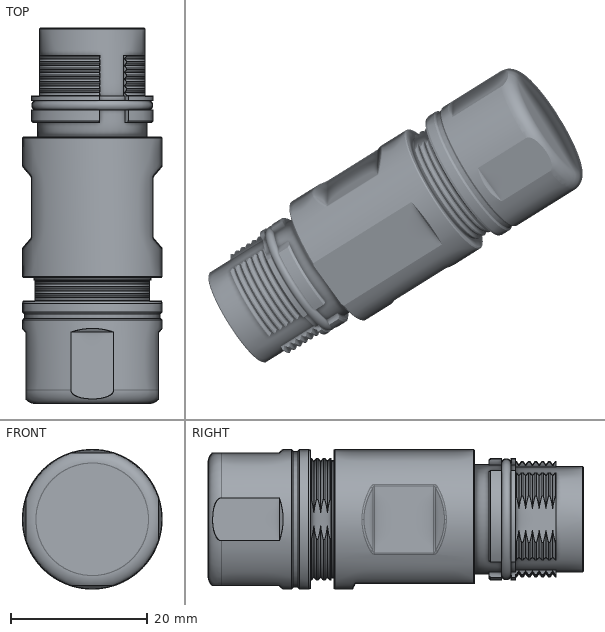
import cadquery as cq
import math

total_length = 55.05
outer_radius = 10.25

nut_groove_front = 12.2
nut_groove_rear = 13.45
nut_end = 15.05
front_thread_end = 18.0
collar_front = 18.1
body_start = 18.45
body_end = 39.1
lug_start = 41.2
lug_end = 43.05
rim_start = 44.4
rim_end = 45.1
rear_thread_end = 51.05

nut_groove_radius = 9.95
collar_radius = 8.6
front_root_radius = 8.5
front_crest_radius = 8.9
neck_radius = 8.05
lug_radius = 8.9
plug_radius = 7.75
rear_root_radius = 7.9
rear_crest_radius = 8.5

nut_front_fillet = 2.0
nut_rim_taper_length = 0.35
nut_rim_taper_depth = 0.1
nut_groove_slope = 0.3
edge_chamfer = 0.15
lug_chamfer = 0.3

thread_pitch = 1.0
crest_land = 0.2
front_thread_flat = 8.4
core_overlap = 0.55

ring_section_radius = (rim_start - lug_end) / 2
ring_outer_radius = 8.85

nut_flat_distance = 9.75
nut_flat_start = 10.45
nut_flat_runout = 0.55

recess_floor = 8.9
recess_front = 24.3
recess_rear = 33.25
recess_runout = 1.55
recess_fillet = 0.45

label_flat_distance = 9.4
label_flat_front = 21.6

thread_gaps = [(53.5, 82.2), (169.7, 199.2), (286.5, 315.5)]
lug_gaps = [(53.5, 83.0), (180.0, 207.0), (286.5, 315.5)]
lead_in_angle = 219.0


def revolve_profile(profile):
    """Turn a closed (radius, y) profile about the Y axis."""
    return profile.close().revolve(360, (0, 0, 0), (0, 1, 0))


def tube(inner, outer, start, end):
    width, length = outer - inner, end - start
    return revolve_profile(
        cq.Workplane("XY").moveTo(inner, start).hLine(width).vLine(length).hLine(-width)
    )


def cylinder(radius, start, end):
    return tube(0, radius, start, end)


def polar(radius, angle):
    return radius * math.cos(math.radians(angle)), radius * math.sin(math.radians(angle))


def prism(points, start, end):
    """Extrude an (x, z) outline along Y."""
    return cq.Workplane("XZ", origin=(0, start, 0)).polyline(points).close().extrude(start - end)


def gap_cutter(angles, start, end):
    reach = 2 * outer_radius
    corners = [(0, 0)] + [polar(reach, angle) for angle in angles]
    return prism(corners, start, end)


def thread(root, crest, flat, start, end):
    """Sleeve with a row of V grooves one pitch apart, flattened on its two X sides."""
    sleeve = tube(root - core_overlap, crest, start, end)
    half_mouth = (thread_pitch - crest_land) / 2
    for turn in range(round((end - start) / thread_pitch)):
        bottom = start + (turn + 0.5) * thread_pitch
        groove = (
            cq.Workplane("XY")
            .moveTo(root, bottom)
            .lineTo(crest, bottom + half_mouth)
            .lineTo(crest, bottom - half_mouth)
        )
        sleeve = sleeve.cut(revolve_profile(groove))
    slab = cq.Workplane("XY").box(2 * flat, 2 * (end - start), 3 * crest)
    return sleeve.intersect(slab.translate((0, (start + end) / 2, 0)))


def make_nut():
    face_radius = outer_radius - nut_front_fillet
    profile = (
        cq.Workplane("XY")
        .lineTo(face_radius, 0)
        .radiusArc((outer_radius, nut_front_fillet), -nut_front_fillet)
        .lineTo(outer_radius, nut_groove_front)
        .lineTo(nut_groove_radius, nut_groove_front + nut_groove_slope)
        .lineTo(nut_groove_radius, nut_groove_rear - nut_groove_slope)
        .lineTo(outer_radius, nut_groove_rear)
        .lineTo(outer_radius, nut_end - nut_rim_taper_length)
        .lineTo(outer_radius - nut_rim_taper_depth, nut_end)
        .lineTo(0, nut_end)
    )
    nut = revolve_profile(profile)
    cutter = (
        cq.Workplane("XY")
        .moveTo(nut_flat_distance, 0)
        .lineTo(nut_flat_distance, nut_flat_start)
        .lineTo(outer_radius, nut_flat_start + nut_flat_runout)
        .lineTo(outer_radius, 0)
        .close()
        .extrude(outer_radius, both=True)
    )
    for quarter in range(4):
        nut = nut.cut(cutter.rotate((0, 0, 0), (0, 1, 0), 90 * quarter))
    return nut


def make_body():
    body = cylinder(outer_radius, body_start, body_end).edges().chamfer(edge_chamfer)
    recess = (
        cq.Workplane("XY")
        .moveTo(recess_floor, recess_front)
        .lineTo(recess_floor, recess_rear)
        .lineTo(outer_radius, recess_rear + recess_runout)
        .lineTo(outer_radius, recess_front - recess_runout)
        .close()
        .extrude(outer_radius, both=True)
    )
    body = body.cut(recess).cut(recess.mirror("YZ"))
    half_mouth = (recess_rear - recess_front) / 2 + recess_runout
    mouth_middle = (recess_rear + recess_front) / 2
    mouths = cq.selectors.BoxSelector(
        (-outer_radius, mouth_middle - half_mouth, -outer_radius),
        (outer_radius, mouth_middle + half_mouth, outer_radius),
    )
    body = body.edges(mouths).fillet(recess_fillet)
    end_slope_length = (outer_radius - label_flat_distance) / 2
    label_flat = (
        cq.Workplane("YZ")
        .moveTo(label_flat_front, -label_flat_distance)
        .lineTo(body_end, -label_flat_distance)
        .lineTo(body_end, -outer_radius)
        .lineTo(label_flat_front - end_slope_length, -outer_radius)
        .close()
        .extrude(outer_radius, both=True)
    )
    return body.cut(label_flat)


def make_lugs():
    """Bayonet lugs either side of the O-ring, interrupted by gaps."""
    lugs = cylinder(lug_radius, lug_start, lug_end).faces("<Y").edges().chamfer(lug_chamfer)
    lugs = lugs.union(cylinder(lug_radius, rim_start, rim_end))
    for angles in lug_gaps:
        lugs = lugs.cut(gap_cutter(angles, lug_start, rim_end))
    lead_in_start = lug_gaps[1][1]
    lead_in = prism(
        [
            polar(neck_radius, lead_in_start),
            polar(lug_radius, lead_in_start),
            polar(outer_radius, (lead_in_start + lead_in_angle) / 2),
            polar(lug_radius, lead_in_angle),
        ],
        lug_start,
        rim_end,
    )
    return lugs.cut(lead_in)


def make_o_ring():
    centre_radius = ring_outer_radius - ring_section_radius
    centre_y = (lug_end + rim_start) / 2
    profile = (
        cq.Workplane("XY")
        .moveTo(neck_radius, lug_end)
        .lineTo(centre_radius, lug_end)
        .threePointArc((ring_outer_radius, centre_y), (centre_radius, rim_start))
        .lineTo(neck_radius, rim_start)
    )
    return revolve_profile(profile)


def make_rear_thread():
    sleeve = thread(rear_root_radius, rear_crest_radius, plug_radius, rim_end, rear_thread_end)
    for angles in thread_gaps:
        sleeve = sleeve.cut(gap_cutter(angles, rim_end, rear_thread_end))
    return sleeve


front_core = cylinder(front_thread_flat, nut_end, body_start)
collar = cylinder(collar_radius, collar_front, body_start)
front_thread = thread(
    front_root_radius, front_crest_radius, front_thread_flat, nut_end, front_thread_end
)
neck = cylinder(neck_radius, body_end, rim_end)
plug = cylinder(plug_radius, rim_end, total_length).faces(">Y").edges().chamfer(edge_chamfer)

result = make_nut()
for piece in (
    front_core,
    collar,
    front_thread,
    make_body(),
    neck,
    plug,
    make_lugs(),
    make_o_ring(),
    make_rear_thread(),
):
    result = result.union(piece)